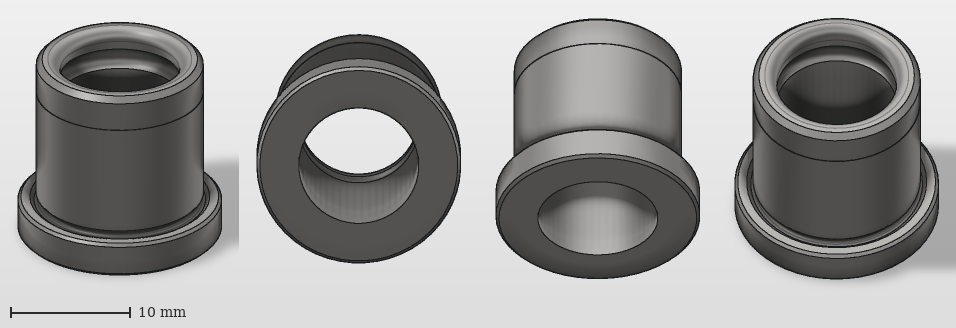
import cadquery as cq
import math

total_height = 16.0
head_radius = 8.5
head_height = 3.01
head_chamfer = 0.25
body_radius = 7.0
lead_in_radius = 6.97
lead_in_height = 3.0
lead_in_chamfer = 0.5

bore_radius = 5.0
mouth_round = 1.0

groove_radius = 1.0
groove_center_inset = 0.4
groove_depth_from_top = 2.64

relief_leg = 0.5
relief_floor_depth = 0.25
relief_slope_inner_radius = 7.15
relief_floor_inner_radius = 6.88


def outer_body():
    body = cq.Workplane("XY").circle(body_radius).extrude(total_height - lead_in_height)
    lead_in = (
        cq.Workplane("XY")
        .workplane(offset=total_height - lead_in_height)
        .circle(lead_in_radius)
        .extrude(lead_in_height)
        .faces(">Z")
        .chamfer(lead_in_chamfer)
    )
    head = cq.Workplane("XY").circle(head_radius).extrude(head_height).edges().chamfer(head_chamfer)
    return body.union(lead_in).union(head)


def corner_relief():
    floor_height = head_height - relief_floor_depth
    wall_top = head_height + relief_leg
    wall_to_floor_end = (relief_floor_inner_radius - floor_height) - (body_radius - wall_top)
    end_radius = wall_to_floor_end / (1 + math.sqrt(2))
    center_height = floor_height + end_radius

    def end_point(degrees):
        angle = math.radians(degrees)
        return (
            relief_floor_inner_radius + end_radius * math.cos(angle),
            center_height + end_radius * math.sin(angle),
        )

    return (
        cq.Workplane("XZ")
        .moveTo(body_radius, wall_top)
        .lineTo(*end_point(135))
        .threePointArc(end_point(202.5), end_point(270))
        .lineTo(relief_slope_inner_radius, floor_height)
        .lineTo(body_radius + relief_leg, head_height)
        .close()
        .revolve(360, (0, 0, 0), (0, 1, 0))
    )


def bore():
    """Through bore, flared at the top by a quarter-circle mouth."""
    arc_center_radius = bore_radius + mouth_round
    arc_center_height = total_height - mouth_round
    half_step = mouth_round / math.sqrt(2)
    return (
        cq.Workplane("XZ")
        .lineTo(bore_radius, 0)
        .lineTo(bore_radius, arc_center_height)
        .threePointArc(
            (arc_center_radius - half_step, arc_center_height + half_step),
            (arc_center_radius, total_height),
        )
        .lineTo(0, total_height)
        .close()
        .revolve(360, (0, 0, 0), (0, 1, 0))
    )


def bore_groove():
    center_height = total_height - groove_depth_from_top
    half_width = math.sqrt(groove_radius**2 - groove_center_inset**2)
    return (
        cq.Workplane("XZ")
        .moveTo(bore_radius, center_height - half_width)
        .threePointArc(
            (bore_radius + groove_radius - groove_center_inset, center_height),
            (bore_radius, center_height + half_width),
        )
        .close()
        .revolve(360, (0, 0, 0), (0, 1, 0))
    )


result = outer_body().cut(corner_relief()).cut(bore()).cut(bore_groove())